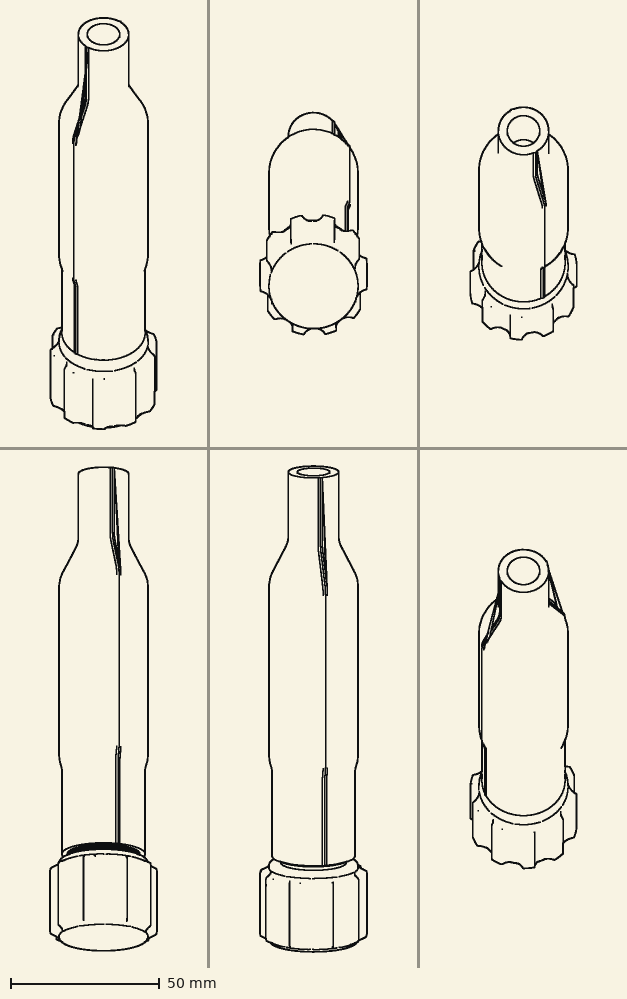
import cadquery as cq
import math

total_height = 162.65
neck_radius = 8.5
neck_base_z = 138.4
body_radius = 15.0
body_top_z = 125.5
body_base_z = 63.1
grip_radius = 14.0
grip_top_z = 59.9
grip_base_z = 29.8
cone_blend_radius = 8.5
shoulder_blend_radius = 8.0

bore_diameter = 10.9
bore_depth = total_height - neck_base_z

seam_width = 1.5
seam_height = 0.25
seam_core_radius = 6.0

collar_diameter = 24.5
collar_base_z = 28.9
collar_chamfer = 0.4
shank_diameter = 22.0

knob_height = 27.5
knob_diameter = 30.0
knob_edge_radius = 1.0
tooth_count = 10
tooth_tip_radius = 18.0
tooth_root_radius = 14.0
tooth_root_base_z = 0.6
tooth_tip_base_z = 2.4
tooth_tip_top_z = 24.3
tooth_root_top_z = 26.1
tooth_end_radius = 0.8
tooth_corner_radius = 0.3
flute_radius = 3.75


def bend(before, corner, after, radius):
    """Start, middle and end points of the arc that rounds a corner of an outline."""
    corner_vec = cq.Vector(*corner)
    to_before = (cq.Vector(*before) - corner_vec).normalized()
    to_after = (cq.Vector(*after) - corner_vec).normalized()
    half_angle = to_before.getAngle(to_after) / 2
    tangent_length = radius / math.tan(half_angle)
    middle_distance = radius / math.sin(half_angle) - radius
    start = corner_vec + to_before * tangent_length
    middle = corner_vec + (to_before + to_after).normalized() * middle_distance
    end = corner_vec + to_after * tangent_length
    return [(point.x, point.y) for point in (start, middle, end)]


def handle_outline(plane, inner_radius, outward_shift):
    """Closed half outline of the handle, drawn as (radius, height) and shifted outward."""
    neck_top = (neck_radius + outward_shift, total_height)
    neck_base = (neck_radius + outward_shift, neck_base_z)
    body_top = (body_radius + outward_shift, body_top_z)
    body_base = (body_radius + outward_shift, body_base_z)
    grip_top = (grip_radius + outward_shift, grip_top_z)
    grip_base = (grip_radius + outward_shift, grip_base_z)

    bends = [
        bend(neck_top, neck_base, body_top, cone_blend_radius),
        bend(neck_base, body_top, body_base, cone_blend_radius),
        bend(body_top, body_base, grip_top, shoulder_blend_radius),
        bend(body_base, grip_top, grip_base, shoulder_blend_radius),
    ]
    outline = cq.Workplane(plane).moveTo(inner_radius, total_height).lineTo(*neck_top)
    for start, middle, end in bends:
        outline = outline.lineTo(*start).threePointArc(middle, end)
    return outline.lineTo(*grip_base).lineTo(inner_radius, grip_base_z).close()


def make_seam():
    """Ridge of triangular section that follows the handle outline on the +Y side."""
    outline = handle_outline("YZ", seam_core_radius, seam_height)
    face = cq.Face.makeFromWires(outline.val())
    drop = seam_height + body_radius - math.sqrt(body_radius**2 - (seam_width / 2) ** 2)
    flank = cq.Workplane(cq.Solid.extrudeLinear(face, cq.Vector(seam_width / 2, -drop, 0)))
    return flank.union(flank.mirror("YZ"))


def make_handle():
    handle = handle_outline("XZ", 0, 0).revolve(360, (0, 0, 0), (0, 1, 0))
    seam = make_seam()
    handle = handle.union(seam).union(seam.mirror("XZ"))
    bore = cq.Workplane("XY", origin=(0, 0, total_height)).circle(bore_diameter / 2).extrude(-bore_depth)
    return handle.cut(bore)


def make_shank():
    shank_base_z = knob_height / 2
    shank = cq.Workplane("XY", origin=(0, 0, shank_base_z)).circle(shank_diameter / 2)
    shank = shank.extrude(grip_base_z - shank_base_z)
    collar = cq.Workplane("XY", origin=(0, 0, collar_base_z)).circle(collar_diameter / 2)
    collar = collar.extrude(grip_base_z - collar_base_z).faces("<Z").edges().chamfer(collar_chamfer)
    return shank.union(collar)


def make_teeth():
    """Disc with sloped ends, parted into teeth by round flutes that just touch the core."""
    core_radius = knob_diameter / 2
    disc = (
        cq.Workplane("XZ")
        .moveTo(0, tooth_root_base_z)
        .lineTo(tooth_root_radius, tooth_root_base_z)
        .lineTo(tooth_tip_radius, tooth_tip_base_z)
        .lineTo(tooth_tip_radius, tooth_tip_top_z)
        .lineTo(tooth_root_radius, tooth_root_top_z)
        .lineTo(0, tooth_root_top_z)
        .close()
        .revolve(360, (0, 0, 0), (0, 1, 0))
    )
    disc = disc.edges(cq.selectors.RadiusNthSelector(-1)).fillet(tooth_end_radius)
    flutes = (
        cq.Workplane("XY")
        .polarArray(core_radius + flute_radius, 0, 360, tooth_count)
        .circle(flute_radius)
        .extrude(knob_height)
    )
    return disc.cut(flutes).edges("|Z").fillet(tooth_corner_radius)


def make_knob():
    core = cq.Workplane("XY").circle(knob_diameter / 2).extrude(knob_height)
    core = core.edges().fillet(knob_edge_radius)
    return core.union(make_teeth())


result = make_handle().union(make_shank()).union(make_knob())